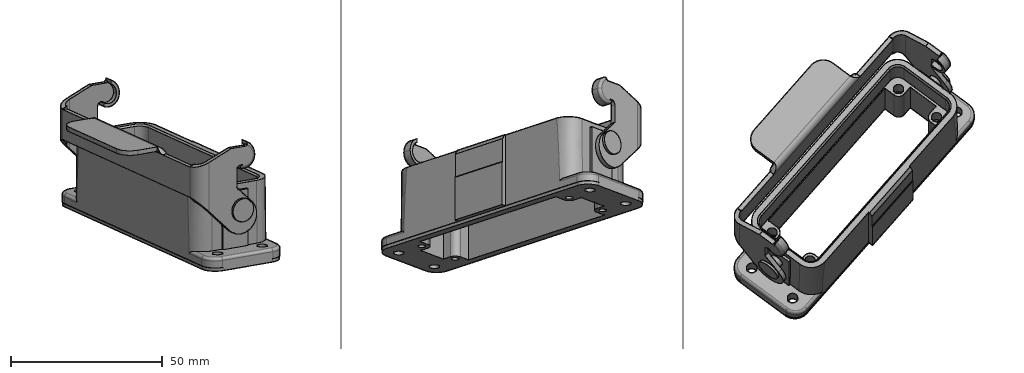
import cadquery as cq
import math

flange_length = 96.0
flange_width = 29.5
flange_top = 4.6
flange_corner = 5.0
flange_edge_round = 1.1
lip_height = 1.2
lip_inset = 0.2
mount_hole_diameter = 3.5
mount_hole_x = 43.1
mount_hole_y = 8.6

housing_top = 26.1
housing_length = 79.0
housing_corner = 6.0
housing_draft = 0.6
cavity_length = 74.1
cavity_width = 24.2
cavity_corner = 3.3
cavity_chamfer = 0.6
ledge_z = 16.9
opening_length = 72.4
opening_width = 23.4

block_inner_x = 30.6
block_inner_y = 5.5
block_round = 2.4
screw_x = 33.2
screw_y = 8.1
screw_diameter = 2.5
screw_mouth_diameter = 3.4
screw_mouth_depth = 5.8
block_overlap = 0.5

end_pad_reach = 40.4
end_pad_width = 9.8
end_pad_top = 24.1
back_pad_width = 21.3
back_pad_lower_reach = 16.3
back_pad_upper_reach = 16.0
back_pad_step_z = 16.3
back_pad_bevel_start = 24.5
back_pad_top_reach = 15.1

pin_z = 18.6
pin_diameter = 4.5
pin_head_diameter = 8.0
pin_head_height = 0.9

total_height = 41.6
sheet = 1.6
lever_reach_x = 44.4
lever_front_y = -17.4
lever_bend = 4.6
lever_inner_y = lever_front_y + sheet
bar_bottom = 24.4
bar_top = 34.8

arm_top = 40.2
arm_slope_start_y = -4.3
arm_slope_angle = 22.0
arm_foot_y = -0.5
arm_foot_z = 16.5
arm_foot_radius = 6.1
arm_foot_angle = 44.0
arm_back_y = -1.9

hook_z = 36.7
hook_lower_y = 1.2
hook_lower_radius = 4.2
hook_upper_radius = 5.3
hook_upper_y = hook_lower_y + hook_lower_radius - hook_upper_radius
hook_tip_y = hook_upper_y + math.sqrt(hook_upper_radius**2 - (total_height - hook_z) ** 2)
hook_rim = 1.2
hook_rim_reach = 41.0
hook_edge_round = 1.0
notch_diameter = 2.8
hook_end_y = arm_back_y + notch_diameter / 2
notch_z = 32.6
notch_flat_y = 0.1
notch_corner_z = 33.3
tip_relief_y = 1.3
tip_relief_z = 40.6

tab_top = 36.9
tab_thickness = 1.5
tab_tip_y = -30.3
tab_half_width = 20.1
tab_root_half_width = 22.7
tab_corner = 5.1
tab_bend = 2.1


def standing_box(length, width, height):
    """Box centred on the Z axis and standing on the base plane."""
    return cq.Workplane("XY").box(length, width, height, centered=(True, True, False))


def rounded_block(length, width, corner, bottom, height):
    """Upright block centred on the Z axis with rounded vertical edges."""
    block = cq.Workplane("XY").workplane(offset=bottom).rect(length, width).extrude(height)
    return block.edges("|Z").fillet(corner)


def drafted_block(length, width, corner, top, depth, draft):
    """Rounded block grown downwards from its top outline with drafted walls."""
    outline = cq.Sketch().rect(length, width).vertices().fillet(corner)
    return cq.Workplane("XY").workplane(offset=top).placeSketch(outline).extrude(-depth, taper=draft)


def both_ends(solid):
    """The solid together with its mirror image at the other end of the part."""
    return solid.union(solid.mirror("YZ"))


def make_flange():
    lip_width = flange_width - 2 * lip_inset
    lip = rounded_block(flange_length, lip_width, flange_corner, 0, lip_height)
    plate = rounded_block(flange_length, flange_width, flange_corner, lip_height, flange_top - lip_height)
    plate = plate.faces(">Z").edges().fillet(flange_edge_round)
    return lip.union(plate)


def make_housing():
    depth = housing_top - lip_height
    walls = drafted_block(housing_length, flange_width, housing_corner, housing_top, depth, -housing_draft)
    trim = cq.Workplane("XY").box(flange_length, flange_width, 2 * housing_top)
    return walls.intersect(trim)


def make_pads():
    end_pads = standing_box(2 * end_pad_reach, end_pad_width, end_pad_top - lip_height)
    end_pads = end_pads.translate((0, 0, lip_height))
    back_pad = (
        cq.Workplane("YZ")
        .moveTo(0, lip_height)
        .lineTo(back_pad_lower_reach, lip_height)
        .lineTo(back_pad_lower_reach, back_pad_step_z)
        .lineTo(back_pad_upper_reach, back_pad_step_z)
        .lineTo(back_pad_upper_reach, back_pad_bevel_start)
        .lineTo(back_pad_top_reach, housing_top)
        .lineTo(0, housing_top)
        .close()
        .extrude(back_pad_width / 2, both=True)
    )
    return end_pads.union(back_pad)


def make_cavity():
    upper = rounded_block(cavity_length, cavity_width, cavity_corner, ledge_z, housing_top - ledge_z)
    rim_length = cavity_length + 2 * cavity_chamfer
    rim_width = cavity_width + 2 * cavity_chamfer
    rim_corner = cavity_corner + cavity_chamfer
    rim = drafted_block(rim_length, rim_width, rim_corner, housing_top, cavity_chamfer, 45)
    lower = standing_box(opening_length, opening_width, ledge_z)
    return upper.union(rim).union(lower)


def make_screw_blocks():
    length = opening_length / 2 - block_inner_x + block_overlap
    width = opening_width / 2 - block_inner_y + block_overlap
    block = (
        cq.Workplane("XY")
        .box(length, width, ledge_z, centered=False)
        .edges("|Z and <X and <Y")
        .fillet(block_round)
        .translate((block_inner_x, block_inner_y, 0))
    )
    hole = cq.Workplane("XY").center(screw_x, screw_y).circle(screw_diameter / 2).extrude(ledge_z)
    mouth = (
        cq.Workplane("XY")
        .workplane(offset=ledge_z)
        .center(screw_x, screw_y)
        .circle(screw_mouth_diameter / 2)
        .extrude(-screw_mouth_depth)
    )
    block = block.cut(hole).cut(mouth)
    return both_ends(block.union(block.mirror("XZ")))


def make_mount_holes():
    return (
        cq.Workplane("XY")
        .rect(2 * mount_hole_x, 2 * mount_hole_y, forConstruction=True)
        .vertices()
        .circle(mount_hole_diameter / 2)
        .extrude(flange_top)
    )


def make_pin():
    """Pin and head on the +X end, from inside the end wall to outside the lever."""
    wall_middle = (housing_length + cavity_length) / 4
    plane = cq.Workplane("YZ").workplane(offset=wall_middle)
    pin = plane.center(0, pin_z).circle(pin_diameter / 2).extrude(lever_reach_x - wall_middle)
    plane = cq.Workplane("YZ").workplane(offset=lever_reach_x)
    head = plane.center(0, pin_z).circle(pin_head_diameter / 2).extrude(pin_head_height)
    return pin.union(head)


def on_circle(y, z, radius, degrees):
    """The point at an angle from +Y on a circle centred at (y, z) in the YZ plane."""
    angle = math.radians(degrees)
    return (y + radius * math.cos(angle), z + radius * math.sin(angle))


def below_hook_centre(y, radius):
    return (y, hook_z - math.sqrt(radius**2 - (y - hook_lower_y) ** 2))


def above_hook_centre(y, radius):
    return (y, hook_z + math.sqrt(radius**2 - (y - hook_upper_y) ** 2))


def upper_middle(radius):
    """A point on the upper hook arc between its start at hook height and its tip."""
    return on_circle(hook_upper_y, hook_z, radius, 35)


def lower_middle(radius):
    """A point on the lower hook arc between its start at hook height and its end."""
    return on_circle(hook_lower_y, hook_z, radius, -45)


def make_arm_profile():
    """Side arm outline extruded across the full width of the lever."""
    run = math.tan(math.radians(arm_slope_angle))
    slope_end_z = arm_top - (arm_slope_start_y - lever_front_y) * run
    foot_front = on_circle(arm_foot_y, arm_foot_z, arm_foot_radius, 270 - arm_foot_angle)
    foot_back = on_circle(arm_foot_y, arm_foot_z, arm_foot_radius, 90 - arm_foot_angle)
    foot_end = on_circle(arm_foot_y, arm_foot_z, arm_foot_radius, -arm_foot_angle)
    rise = math.tan(math.radians(arm_foot_angle))
    back_corner_z = foot_back[1] + (foot_back[0] - arm_back_y) * rise
    front_corner_z = foot_front[1] + (foot_front[0] - lever_front_y) * rise
    notch_radius = notch_diameter / 2
    return (
        cq.Workplane("YZ")
        .moveTo(lever_front_y, front_corner_z)
        .lineTo(lever_front_y, slope_end_z)
        .lineTo(arm_slope_start_y, arm_top)
        .lineTo(tip_relief_y, arm_top)
        .lineTo(hook_tip_y, tip_relief_z)
        .lineTo(hook_tip_y, total_height)
        .threePointArc(upper_middle(hook_upper_radius), (hook_upper_y + hook_upper_radius, hook_z))
        .threePointArc(lower_middle(hook_lower_radius), below_hook_centre(hook_end_y, hook_lower_radius))
        .lineTo(hook_end_y, notch_corner_z)
        .lineTo(notch_flat_y, notch_z + notch_radius)
        .lineTo(hook_end_y, notch_z + notch_radius)
        .threePointArc(on_circle(hook_end_y, notch_z, notch_radius, 135), (arm_back_y, notch_z))
        .lineTo(arm_back_y, back_corner_z)
        .lineTo(*foot_back)
        .threePointArc(foot_end, foot_front)
        .close()
        .extrude(lever_reach_x, both=True)
    )


def make_lever_band():
    """U-shaped band of sheet seen along Z, as tall as the whole part."""
    length = 2 * (hook_upper_radius - lever_front_y)

    def bent_block(offset):
        half = lever_reach_x - offset
        block = rounded_block(2 * half, length - 2 * offset, lever_bend - offset, 0, total_height)
        return block.translate((0, lever_front_y + length / 2, 0))

    return bent_block(0).cut(bent_block(sheet))


def make_hook_rim():
    """Inward-turned rim around the hook on the +X arm."""
    inner_lower = hook_lower_radius - hook_rim
    inner_upper = hook_upper_radius - hook_rim
    return (
        cq.Workplane("YZ")
        .workplane(offset=hook_rim_reach)
        .moveTo(hook_tip_y, total_height)
        .threePointArc(upper_middle(hook_upper_radius), (hook_upper_y + hook_upper_radius, hook_z))
        .threePointArc(lower_middle(hook_lower_radius), below_hook_centre(hook_end_y, hook_lower_radius))
        .lineTo(*below_hook_centre(hook_end_y, inner_lower))
        .threePointArc(lower_middle(inner_lower), (hook_upper_y + inner_upper, hook_z))
        .threePointArc(upper_middle(inner_upper), above_hook_centre(hook_tip_y, inner_upper))
        .close()
        .extrude(lever_reach_x - hook_rim_reach)
    )


def make_tab():
    underside = tab_top - tab_thickness
    bend_end_y = lever_inner_y - tab_bend
    tab = cq.Workplane("XY").box(
        2 * tab_half_width, bend_end_y - tab_tip_y, tab_thickness, centered=(True, False, False)
    )
    tab = tab.translate((0, tab_tip_y, underside)).edges("|Z and <Y").fillet(tab_corner)
    bend = (
        cq.Workplane("YZ")
        .moveTo(lever_inner_y, bar_top)
        .threePointArc(on_circle(bend_end_y, bar_top, tab_bend, 45), (bend_end_y, tab_top))
        .lineTo(bend_end_y, underside)
        .lineTo(lever_front_y, bar_top)
        .close()
        .extrude(tab_root_half_width, both=True)
    )
    flare = (
        cq.Workplane("XZ")
        .moveTo(-tab_root_half_width, bar_top)
        .lineTo(-tab_half_width, tab_top)
        .lineTo(tab_half_width, tab_top)
        .lineTo(tab_root_half_width, bar_top)
        .close()
        .extrude(-tab_tip_y)
    )
    return tab.union(bend.intersect(flare))


def make_lever():
    band = make_lever_band()
    bar_length = 2 * (lever_reach_x - lever_bend)
    bar_zone = standing_box(bar_length, 2 * flange_width, total_height)
    bar = cq.Workplane("XY").box(bar_length, sheet, bar_top - bar_bottom, centered=(True, False, False))
    bar = bar.translate((0, lever_front_y, bar_bottom))
    lever = band.intersect(make_arm_profile()).cut(bar_zone).union(bar)
    lever = lever.union(both_ends(make_hook_rim()))
    hook_edges = cq.selectors.BoxSelector(
        (-flange_length, hook_lower_y, notch_z), (flange_length, flange_width, total_height)
    )
    lever = lever.faces("<X or >X").edges("%CIRCLE").edges(hook_edges).fillet(hook_edge_round)
    return lever.union(make_tab())


body = make_flange().union(make_housing()).union(make_pads())
body = body.cut(make_cavity()).cut(make_mount_holes())
body = body.union(make_screw_blocks())
result = body.union(both_ends(make_pin())).union(make_lever())